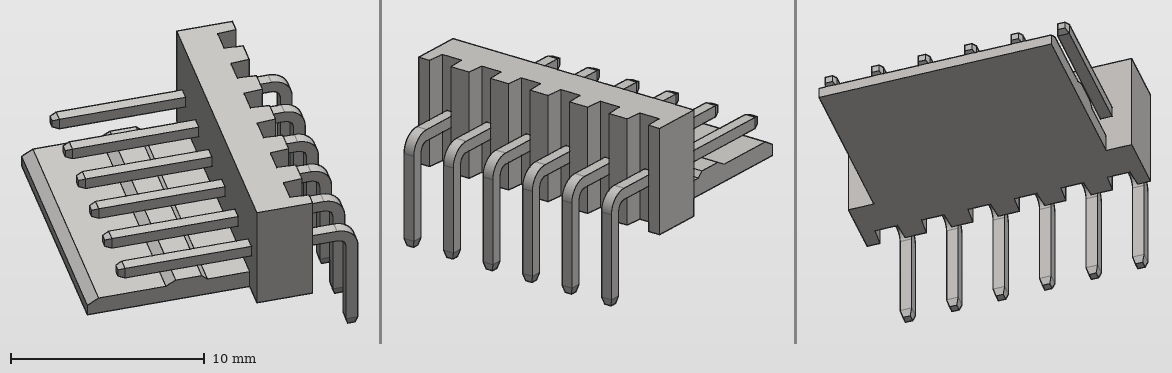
import cadquery as cq


pin_count = 6
pin_pitch = 2.54
pin_width = 0.64
pin_height = 2.6
pin_front_reach = 7.13
pin_back_reach = 2.73
pin_drop = 3.41
bend_outer_radius = 1.12
bend_inner_radius = bend_outer_radius - pin_width
tip_width = 0.4
front_tip_length = 0.35
bottom_tip_length = 0.42

wall_length = 15.49
wall_depth = 2.99
wall_height = 6.0

slot_depth = 1.0
slot_floor_width = 1.24
slot_mouth_width = 1.38

shelf_width = (pin_count - 1) * pin_pitch
shelf_reach = 8.7
shelf_thickness = 0.99
shelf_chamfer_length = 0.6
shelf_nose_height = 0.64
ridge_height = 1.29
ridge_back_foot = 2.26
ridge_back_top = 2.57
ridge_front_top = 3.97
ridge_front_foot = 4.49

pin_positions = [(i - (pin_count - 1) / 2) * pin_pitch for i in range(pin_count)]


def make_wall():
    return cq.Workplane("XY").box(wall_length, wall_depth, wall_height, centered=(True, False, False))


def make_shelf():
    """Shelf with a chamfered nose and a latch ridge, drawn as a side profile in (Y, Z)."""
    profile = [
        (0, 0),
        (0, shelf_thickness),
        (-ridge_back_foot, shelf_thickness),
        (-ridge_back_top, ridge_height),
        (-ridge_front_top, ridge_height),
        (-ridge_front_foot, shelf_thickness),
        (-(shelf_reach - shelf_chamfer_length), shelf_thickness),
        (-shelf_reach, shelf_nose_height),
        (-shelf_reach, 0),
    ]
    return cq.Workplane("YZ").polyline(profile).close().extrude(shelf_width / 2, both=True)


def make_slot(x):
    """Full-height slot that widens toward the back face of the wall."""
    floor_y = wall_depth - slot_depth
    outline = [
        (x - slot_floor_width / 2, floor_y),
        (x + slot_floor_width / 2, floor_y),
        (x + slot_mouth_width / 2, wall_depth),
        (x - slot_mouth_width / 2, wall_depth),
    ]
    return cq.Workplane("XY").polyline(outline).close().extrude(wall_height)


def make_pin_hole(x):
    """Square hole through the wall that fits the straight leg of a pin."""
    hole = cq.Workplane("XY").box(pin_width, wall_depth, pin_width, centered=(True, False, True))
    return hole.translate((x, 0, pin_height))


def make_housing():
    housing = make_wall().union(make_shelf())
    for x in pin_positions:
        housing = housing.cut(make_slot(x)).cut(make_pin_hole(x))
    return housing


def make_tip(base_plane, length):
    """Square taper that starts at full pin width and narrows along the plane normal."""
    return (
        cq.Workplane(base_plane)
        .rect(pin_width, pin_width)
        .workplane(offset=length)
        .rect(tip_width, tip_width)
        .loft(ruled=True)
    )


def make_pin(x):
    """Square pin: straight leg along Y, rounded bend behind the wall, leg down along Z."""
    top = pin_height + pin_width / 2
    bottom = pin_height - pin_width / 2
    outer_y = wall_depth + pin_back_reach
    inner_y = outer_y - pin_width
    front_shoulder_y = -(pin_front_reach - front_tip_length)
    bottom_shoulder_z = -(pin_drop - bottom_tip_length)

    bend_y = outer_y - bend_outer_radius
    bend_z = top - bend_outer_radius
    legs = (
        cq.Workplane("YZ")
        .moveTo(front_shoulder_y, top)
        .lineTo(bend_y, top)
        .radiusArc((outer_y, bend_z), bend_outer_radius)
        .lineTo(outer_y, bottom_shoulder_z)
        .lineTo(inner_y, bottom_shoulder_z)
        .lineTo(inner_y, bend_z)
        .radiusArc((bend_y, bottom), -bend_inner_radius)
        .lineTo(front_shoulder_y, bottom)
        .close()
        .extrude(pin_width / 2, both=True)
    )

    front_base = cq.Plane(origin=(0, front_shoulder_y, pin_height), xDir=(1, 0, 0), normal=(0, -1, 0))
    bottom_base = cq.Plane(
        origin=(0, outer_y - pin_width / 2, bottom_shoulder_z), xDir=(1, 0, 0), normal=(0, 0, -1)
    )
    pin = legs.union(make_tip(front_base, front_tip_length))
    pin = pin.union(make_tip(bottom_base, bottom_tip_length))
    return pin.translate((x, 0, 0))


housing = make_housing()
pins = [make_pin(x) for x in pin_positions]

result = cq.Compound.makeCompound([housing.solids().val(), *[pin.solids().val() for pin in pins]])